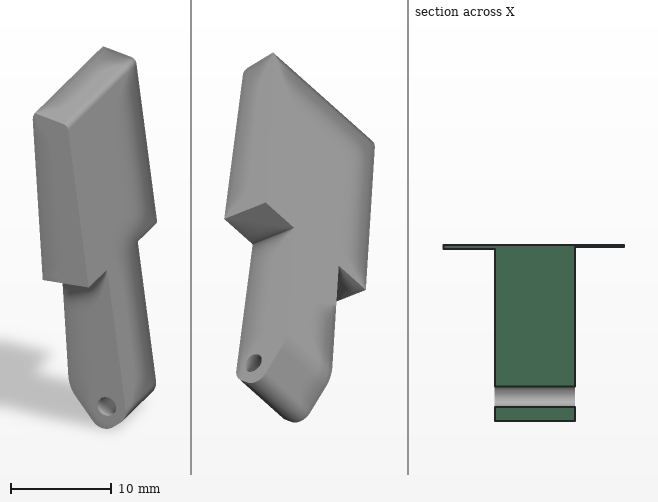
import cadquery as cq

plate_width = 18.0
tongue_width = 8.0
front_shoulder_width = 4.9

front_shoulder_z = 17.37
back_shoulder_z = 17.15

lip_start = (0.0, 34.55)
peak = (0.2, 35.38)

top_right = (3.75, 34.6)
heel_right = (8.15, 1.45)
toe = (5.45, -0.65)
heel_left = (1.9, 3.93)

top_right_radius = 0.7
heel_right_radius = 1.55
toe_radius = 1.55
heel_left_radius = 3.7

hole_diameter = 2.0
hole_x = 5.98
hole_z = 2.45

margin = 1.77

tongue_front_y = front_shoulder_width
tongue_back_y = tongue_front_y + tongue_width


def round_corner(body, corner, radius):
    """Round the full-width edge that runs along Y through a profile corner."""
    x, z = corner
    edge = cq.selectors.NearestToPointSelector((x, plate_width / 2, z))
    return body.edges("|Y").edges(edge).fillet(radius)


def shoulder_cutter(y_start, y_end, height):
    """Block that removes one side of the plate below the given height."""
    length_x = heel_right[0] - lip_start[0] + 2 * margin
    return (
        cq.Workplane("XY")
        .box(length_x, y_end - y_start, height + margin, centered=False)
        .translate((lip_start[0] - margin, y_start, -margin))
    )


body = (
    cq.Workplane("XZ")
    .polyline([peak, top_right, heel_right, toe, heel_left, lip_start])
    .tangentArcPoint(peak, relative=False)
    .close()
    .extrude(-plate_width)
)

rounded_corners = [
    (top_right, top_right_radius),
    (heel_right, heel_right_radius),
    (toe, toe_radius),
    (heel_left, heel_left_radius),
]
for corner, radius in rounded_corners:
    body = round_corner(body, corner, radius)

body = body.cut(shoulder_cutter(-margin, tongue_front_y, front_shoulder_z))
body = body.cut(shoulder_cutter(tongue_back_y, plate_width + margin, back_shoulder_z))

pivot_hole = (
    cq.Workplane("XZ")
    .center(hole_x, hole_z)
    .circle(hole_diameter / 2)
    .extrude(-plate_width)
)
result = body.cut(pivot_hole)